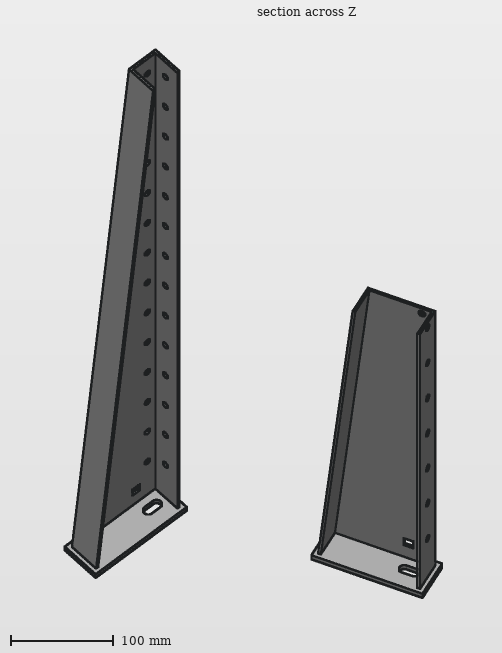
import cadquery as cq

plate_width = 45.0
plate_depth = 120.0
plate_thickness = 6.0

total_height = 736.0
ledge = 4.9
post_width = plate_width - 2 * ledge
post_base_depth = plate_depth - 2 * ledge
post_top_depth = post_width
wall = 3.0

hole_count = 14
hole_diameter = 7.0
hole_from_back = 13.0
lowest_hole_height = 61.0
top_hole_margin = 25.0
hole_pitch = (total_height - top_hole_margin - lowest_hole_height) / (hole_count - 1)

window_width = 10.0
window_height = 9.5
window_from_back = 28.0
window_above_plate = 21.0

slot_width = 10.0
slot_length = 21.0
slot_from_back = 20.0

post_height = total_height - plate_thickness
post_back = post_base_depth / 2
post_left = -post_width / 2


def tapered_block(x_start, width, inset):
    """Post side outline, moved inwards by inset at the back and front, extruded along X."""
    return (
        cq.Workplane("YZ", origin=(x_start, 0, plate_thickness))
        .moveTo(post_back - inset, 0)
        .lineTo(post_back - inset, post_height)
        .lineTo(post_back - post_top_depth + inset, post_height)
        .lineTo(post_back - post_base_depth + inset, 0)
        .close()
        .extrude(width)
    )


def base_plate():
    plate = cq.Workplane("XY").box(plate_width, plate_depth, plate_thickness, centered=(True, True, False))
    slot = (
        cq.Workplane("XY")
        .center(0, post_back - slot_from_back)
        .slot2D(slot_length, slot_width, 90)
        .extrude(plate_thickness)
    )
    return plate.cut(slot)


def channel_post():
    outside = tapered_block(post_left, post_width, 0)
    inside = tapered_block(post_left + wall, post_width - wall, wall)
    return outside.cut(inside)


def hole_row(workplane, centre_offset):
    """Row of hole cylinders, one wall thick, spaced up the post."""
    centres = [(centre_offset, lowest_hole_height + i * hole_pitch) for i in range(hole_count)]
    return workplane.pushPoints(centres).circle(hole_diameter / 2).extrude(wall)


def web_holes():
    return hole_row(cq.Workplane("YZ", origin=(post_left, 0, 0)), post_back - hole_from_back)


def back_flange_holes():
    return hole_row(cq.Workplane("XZ", origin=(0, post_back, 0)), 0)


def web_window():
    return (
        cq.Workplane("YZ", origin=(post_left, 0, 0))
        .center(post_back - window_from_back, plate_thickness + window_above_plate)
        .rect(window_width, window_height)
        .extrude(wall)
    )


post = channel_post().cut(web_holes()).cut(back_flange_holes()).cut(web_window())
result = base_plate().union(post)